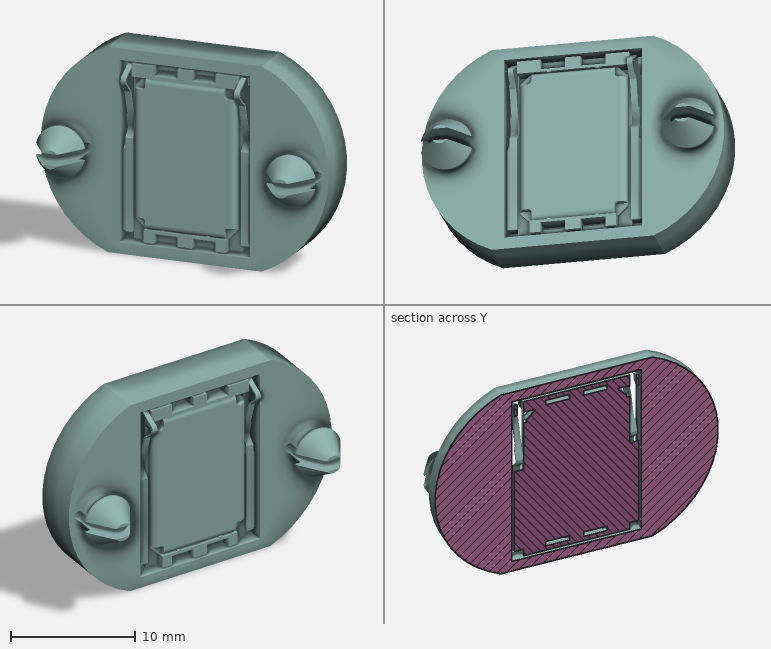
import cadquery as cq


PLATE_WIDTH = 25.0
PLATE_HEIGHT = 17.4
PLATE_DEPTH = 4.0
FLAT_HALF_WIDTH = 6.68
POCKET_WIDTH = 11.4
POCKET_HEIGHT = 15.45
POCKET_DEPTH = 3.0

PEG_SPACING = 20.0
PEG_LENGTH = 4.23
SHAFT_RADIUS = 1.65
HEAD_RADIUS = 2.16
TIP_RADIUS = 0.8
HEAD_START = 1.8
RIM_THICKNESS = 0.17
PEG_SLOT = 1.0
PEG_ROOT_FILLET = 0.4
SELECT_MARGIN = 0.01

INSERT_WIDTH = 11.05
INSERT_HEIGHT = 15.0
BASE_FRONT = 0.8
BASE_CORNER_RADIUS = 0.4

PANEL_WIDTH = 8.86
PANEL_HEIGHT = 12.88
PANEL_EDGE_RADIUS = 0.53
ROUNDING_MARGIN = 0.001
PANEL_CORNER_CHAMFER = 0.8
CORNER_NOTCH = 1.0
CORNER_NOTCH_RADIUS = 0.3
TOP_CORNER_FLOOR = 1.2

TOP_BAR_WIDTH = 9.26
BOTTOM_BAR_WIDTH = 7.14
BAR_NOTCH_SPACING = 3.32
BAR_NOTCH_WIDTH = 2.05
BAR_LIP = 0.23
BAR_WINDOW_HEIGHT = 0.38
BAR_WINDOW_DEPTH = 1.4
NUB_SPACING = 3.98
NUB_WIDTH = 0.3
NUB_HEIGHT = 0.08

CHANNEL_INNER = 4.7
LEDGE_FRONT = 0.6
LEDGE_BOTTOM = -6.87
CHANNEL_FLOOR = 1.5
RAMP_BOTTOM = 0.1
RAMP_TOP = 1.4
STOP_INNER = 5.23
STOP_FRONT = 0.7
STOP_BOTTOM = 6.0
STOP_LOWER_EDGE = 6.67
STOP_UPPER_EDGE = 7.26

SPRING_THICKNESS = 0.15
SPRING_FRONT = 0.45
SPRING_BOTTOM = -6.95
SPRING_TOP = 7.36
SPRING_REACH = 1.0
SPRING_FLAT_TOP = 1.02
DIP_LOWER = (0.95, 1.45)
DIP_MIDDLE = (1.08, 1.72)
DIP_UPPER = (1.05, 2.0)
KNEE = (0.1, 5.16)
CONTACT_LOWER = (-0.78, 5.98)
CONTACT_MIDDLE_Z = 6.3
CONTACT_UPPER = (-0.58, 6.67)
SPRING_END_Y = 0.5
SPRING_OUTER = 5.33
SPRING_MIDDLE_OUTER = 5.23
SPRING_TIP_OUTER = 5.14
MIDDLE_START = 2.93
TIP_START = 5.4


def block(x_min, x_max, y_min, y_max, z_min, z_max):
    """Box between the given limits."""
    size = (x_max - x_min, y_max - y_min, z_max - z_min)
    return cq.Workplane("XY").box(*size, centered=False).translate((x_min, y_min, z_min))


def centred_block(width, y_min, y_max, height):
    """Box centred on the Y axis."""
    return block(-width / 2, width / 2, y_min, y_max, -height / 2, height / 2)


def peg_half():
    """Shaft and head of the upper half of a split peg at the origin."""
    shaft = cq.Workplane("XZ").circle(SHAFT_RADIUS).extrude(HEAD_START)
    head = (
        cq.Workplane("XY")
        .moveTo(0, -HEAD_START)
        .lineTo(HEAD_RADIUS, -HEAD_START)
        .lineTo(HEAD_RADIUS, -HEAD_START - RIM_THICKNESS)
        .lineTo(TIP_RADIUS, -PEG_LENGTH)
        .lineTo(0, -PEG_LENGTH)
        .close()
        .revolve(360, (0, 0), (0, 1))
    )
    keep = block(-HEAD_RADIUS, HEAD_RADIUS, -PEG_LENGTH, 0, PEG_SLOT / 2, HEAD_RADIUS)
    return shaft.intersect(keep), head.intersect(keep)


def build_housing():
    """Rounded plate with a rectangular pocket and two split pegs."""
    half_width = PLATE_WIDTH / 2
    half_height = PLATE_HEIGHT / 2
    plate = (
        cq.Workplane("XZ")
        .moveTo(-FLAT_HALF_WIDTH, half_height)
        .lineTo(FLAT_HALF_WIDTH, half_height)
        .threePointArc((half_width, 0), (FLAT_HALF_WIDTH, -half_height))
        .lineTo(-FLAT_HALF_WIDTH, -half_height)
        .threePointArc((-half_width, 0), (-FLAT_HALF_WIDTH, half_height))
        .close()
        .extrude(-PLATE_DEPTH)
    )
    shaft, head = peg_half()
    places = [(side * PEG_SPACING / 2, turn) for side in (-1, 1) for turn in (0, 180)]
    housing = plate
    for x, turn in places:
        housing = housing.union(shaft.rotate((0, 0, 0), (0, 1, 0), turn).translate((x, 0, 0)))
    root_zone = cq.selectors.BoxSelector(
        (-half_width, -SELECT_MARGIN, -HEAD_RADIUS),
        (half_width, SELECT_MARGIN, HEAD_RADIUS),
        boundingbox=True,
    )
    housing = housing.edges(root_zone).fillet(PEG_ROOT_FILLET)
    for x, turn in places:
        housing = housing.union(head.rotate((0, 0, 0), (0, 1, 0), turn).translate((x, 0, 0)))
    return housing.cut(centred_block(POCKET_WIDTH, 0, POCKET_DEPTH, POCKET_HEIGHT))


def build_panel():
    """Flat panel with rounded front edges and stepped, chamfered corners."""
    lower = centred_block(PANEL_WIDTH, PANEL_EDGE_RADIUS, BASE_FRONT, PANEL_HEIGHT)
    lower = lower.edges("|Y").chamfer(PANEL_CORNER_CHAMFER)
    upper = centred_block(PANEL_WIDTH, 0, PANEL_EDGE_RADIUS, PANEL_HEIGHT)
    upper = upper.faces("<Y").edges().fillet(PANEL_EDGE_RADIUS - ROUNDING_MARGIN)
    for x_side in (-1, 1):
        for z_side in (-1, 1):
            notch = centred_block(2 * CORNER_NOTCH, 0, PANEL_EDGE_RADIUS, 2 * CORNER_NOTCH)
            notch = notch.edges("|Y").fillet(CORNER_NOTCH_RADIUS)
            corner = (x_side * PANEL_WIDTH / 2, 0, z_side * PANEL_HEIGHT / 2)
            upper = upper.cut(notch.translate(corner))
    return lower.union(upper)


def top_corner_recess():
    """Recess in the base around the panel's upper right corner chamfer."""
    x_outer = TOP_BAR_WIDTH / 2
    x_panel = PANEL_WIDTH / 2
    z_panel = PANEL_HEIGHT / 2
    z_low = z_panel - CORNER_NOTCH
    z_chamfer = z_panel - PANEL_CORNER_CHAMFER
    return (
        cq.Workplane("XZ")
        .moveTo(x_outer, z_low)
        .lineTo(x_panel, z_low)
        .lineTo(x_panel, z_chamfer)
        .lineTo(x_panel - PANEL_CORNER_CHAMFER, z_panel)
        .lineTo(x_outer, z_panel)
        .close()
        .extrude(-TOP_CORNER_FLOOR)
    )


def build_bar(width):
    """Bar along the upper end of the insert, with nubs against the panel."""
    inner = PANEL_HEIGHT / 2
    bar = block(-width / 2, width / 2, 0, BASE_FRONT, inner, INSERT_HEIGHT / 2)
    for side in (-1, 1):
        x = side * NUB_SPACING / 2
        nub = block(x - NUB_WIDTH / 2, x + NUB_WIDTH / 2, 0, BASE_FRONT, inner - NUB_HEIGHT, inner)
        bar = bar.union(nub)
    return bar


def bar_notches():
    """Two notches through the upper bar, each with a deeper window beside its lip."""
    lip_edge = PANEL_HEIGHT / 2 + BAR_LIP
    window_edge = lip_edge + BAR_WINDOW_HEIGHT
    notches = cq.Workplane("XY")
    for side in (-1, 1):
        x_min = side * BAR_NOTCH_SPACING / 2 - BAR_NOTCH_WIDTH / 2
        x_max = x_min + BAR_NOTCH_WIDTH
        notch = block(x_min, x_max, 0, BASE_FRONT, lip_edge, INSERT_HEIGHT / 2)
        window = block(x_min, x_max, 0, BAR_WINDOW_DEPTH, lip_edge, window_edge)
        notches = notches.add(notch.union(window))
    return notches.combine()


def extrude_side_profile(profile, inner, outer):
    """Extrude a (Y, Z) profile along X from inner to outer."""
    return profile.extrude(outer - inner).translate((inner, 0, 0))


def build_channel_side():
    """Right-hand side of the base: a ledge, a ramp down to the channel floor, and a stop."""
    outer = INSERT_WIDTH / 2
    half_height = INSERT_HEIGHT / 2
    ledge_profile = (
        cq.Workplane("YZ")
        .moveTo(POCKET_DEPTH, -half_height)
        .lineTo(CHANNEL_FLOOR, -half_height)
        .lineTo(CHANNEL_FLOOR, LEDGE_BOTTOM)
        .lineTo(LEDGE_FRONT, LEDGE_BOTTOM)
        .lineTo(LEDGE_FRONT, RAMP_BOTTOM)
        .lineTo(CHANNEL_FLOOR, RAMP_TOP)
        .lineTo(CHANNEL_FLOOR, half_height)
        .lineTo(POCKET_DEPTH, half_height)
        .close()
    )
    ledge = extrude_side_profile(ledge_profile, CHANNEL_INNER, outer)
    ledge = ledge.edges("|Y and >X and <Z").fillet(BASE_CORNER_RADIUS)
    stop_profile = (
        cq.Workplane("YZ")
        .moveTo(CHANNEL_FLOOR, STOP_BOTTOM)
        .lineTo(STOP_FRONT, STOP_LOWER_EDGE)
        .lineTo(STOP_FRONT, STOP_UPPER_EDGE)
        .lineTo(CHANNEL_FLOOR, half_height)
        .close()
    )
    return ledge.union(extrude_side_profile(stop_profile, STOP_INNER, outer))


def build_spring():
    """Right-hand contact spring: a bent strip that narrows in two steps towards its tip."""
    half = SPRING_THICKNESS / 2
    rest = SPRING_FRONT + half
    tip = half - SPRING_REACH
    centreline = (
        cq.Workplane("YZ")
        .moveTo(rest, SPRING_BOTTOM + half)
        .lineTo(rest, SPRING_FLAT_TOP)
        .lineTo(*DIP_LOWER)
        .threePointArc(DIP_MIDDLE, DIP_UPPER)
        .lineTo(*KNEE)
        .lineTo(*CONTACT_LOWER)
        .threePointArc((tip, CONTACT_MIDDLE_Z), CONTACT_UPPER)
        .lineTo(SPRING_END_Y, SPRING_TOP - half)
    )
    spring = extrude_side_profile(centreline.offset2D(half), CHANNEL_INNER, SPRING_OUTER)
    for outer, start in ((SPRING_MIDDLE_OUTER, MIDDLE_START), (SPRING_TIP_OUTER, TIP_START)):
        spring = spring.cut(
            block(outer, SPRING_OUTER, -SPRING_REACH, POCKET_DEPTH, start, INSERT_HEIGHT / 2)
        )
    return spring


def build_insert():
    """Insert resting on the pocket floor: base, panel, bars and contact springs."""
    insert = centred_block(2 * CHANNEL_INNER, BASE_FRONT, POCKET_DEPTH, INSERT_HEIGHT)
    insert = insert.union(build_panel())
    insert = insert.union(build_bar(TOP_BAR_WIDTH))
    insert = insert.union(build_bar(BOTTOM_BAR_WIDTH).mirror("XY"))
    notches = bar_notches()
    insert = insert.cut(notches).cut(notches.mirror("XY"))
    recess = top_corner_recess()
    insert = insert.cut(recess).cut(recess.mirror("YZ"))
    side = build_channel_side().union(build_spring())
    return insert.union(side).union(side.mirror("YZ"))


housing = build_housing()
insert = build_insert()
result = cq.Compound.makeCompound([*housing.vals(), *insert.vals()])